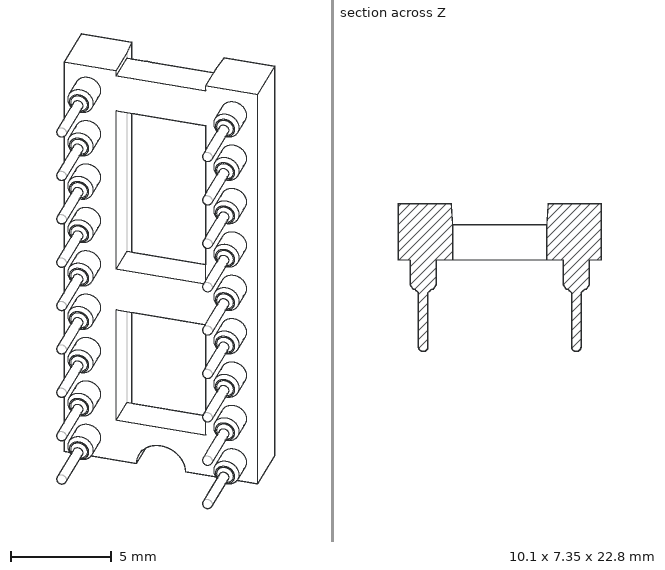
import cadquery as cq
import math


body_length = 22.8
body_width = 10.1
body_depth = 2.8

rail_width = 2.71
rail_draft = 0.07
gap_half_width = body_width / 2 - rail_width

bridge_depth = 1.75
end_bridge_height = 2.35
top_bridge_recess = 0.3
middle_bridge_bottom = 8.8
middle_bridge_top = 11.2

notch_radius = 1.28

boss_radius = 0.75
boss_height = 0.73
boss_x = -1.5
boss_z = body_length - 1.5

pins_per_row = 9
row_length = 20.31
pin_pitch = row_length / (pins_per_row - 1)
row_spacing = 7.62
first_pin_z = 1.16
pin_length = 4.55
pin_root_depth = 0.23
pin_radius = 0.25
barrel_radius = 0.65
barrel_length = 1.23
barrel_end_radius = 0.5
barrel_taper_length = 0.23
neck_radius = 0.43
neck_length = 0.15


def make_rail(side):
    """Full-length rail; side is -1 for -X and +1 for +X. Its inner wall tapers behind the bridges."""
    outer_x = side * body_width / 2
    inner_x = side * gap_half_width
    back_inner_x = side * (gap_half_width + rail_draft)
    return (
        cq.Workplane("XY")
        .moveTo(outer_x, 0)
        .lineTo(inner_x, 0)
        .lineTo(inner_x, bridge_depth)
        .lineTo(back_inner_x, body_depth)
        .lineTo(outer_x, body_depth)
        .close()
        .extrude(body_length)
    )


def make_bridge(bottom_z, top_z):
    """Crosspiece that joins the rails, flush with their pin face."""
    return cq.Workplane("XY", origin=(0, 0, bottom_z)).box(
        2 * gap_half_width, bridge_depth, top_z - bottom_z, centered=(True, False, False)
    )


def make_cylinder_along_y(x, z, start_y, radius, length):
    """Cylinder that runs from start_y towards +Y."""
    solid = cq.Solid.makeCylinder(radius, length, cq.Vector(x, start_y, z), cq.Vector(0, 1, 0))
    return cq.Workplane(solid)


def make_pin():
    """Turned pin on the Y axis: barrel with tapered end, conical neck, slender lead and hemispherical tip."""
    taper_end = barrel_length + barrel_taper_length
    neck_end = taper_end + neck_length
    tip_start = pin_length - pin_radius
    tip_mid_radius = pin_radius * math.sqrt(0.5)
    tip_mid = tip_start + tip_mid_radius
    return (
        cq.Workplane("XY")
        .moveTo(0, pin_root_depth)
        .lineTo(barrel_radius, pin_root_depth)
        .lineTo(barrel_radius, -barrel_length)
        .lineTo(barrel_end_radius, -taper_end)
        .lineTo(neck_radius, -taper_end)
        .lineTo(pin_radius, -neck_end)
        .lineTo(pin_radius, -tip_start)
        .threePointArc((tip_mid_radius, -tip_mid), (0, -pin_length))
        .close()
        .revolve(360, (0, 0, 0), (0, 1, 0))
    )


body = make_rail(-1).union(make_rail(1))
body = body.union(make_bridge(0, end_bridge_height))
body = body.union(make_bridge(middle_bridge_bottom, middle_bridge_top))
body = body.union(make_bridge(body_length - end_bridge_height, body_length - top_bridge_recess))

body = body.cut(make_cylinder_along_y(0, 0, 0, notch_radius, bridge_depth))
body = body.union(make_cylinder_along_y(boss_x, boss_z, bridge_depth, boss_radius, boss_height))

pin = make_pin()
for pin_x in (-row_spacing / 2, row_spacing / 2):
    for index in range(pins_per_row):
        body = body.union(pin.translate((pin_x, 0, first_pin_z + index * pin_pitch)))

result = body